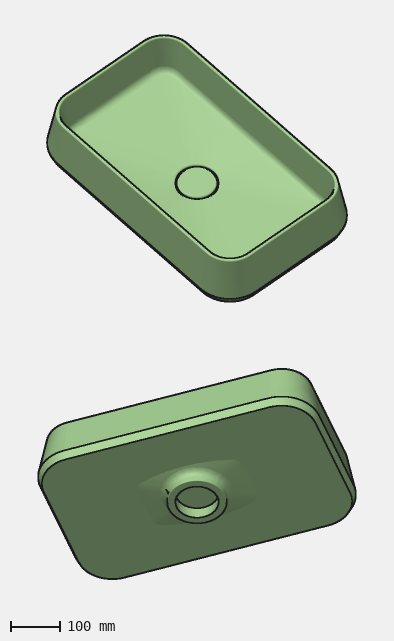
import cadquery as cq
import math

LENGTH = 600.0
WIDTH = 370.0
TOTAL_HEIGHT = 147.0
NECK_DROP = 28.0
RIM_Z = TOTAL_HEIGHT - NECK_DROP
CORNER_RADIUS = 80.5

BELT_BOTTOM_Z = 18.5
BELT_TOP_Z = 21.0
FOOT_INSET = 8.0
RIM_OUTER_INSET = 17.5

RIM_INNER_INSET = 25.0
RIM_ROUND = 3.0
FLOOR_INSET = 40.0
FLOOR_EDGE_Z = 32.5
FLOOR_FILLET = 14.5
EDGE_TOLERANCE = 0.5

DRAIN_EDGE_RADIUS = 48.0
DRAIN_EDGE_Z = 11.5
FLOOR_THICKNESS = 18.0

NECK_RADIUS = 60.5
NECK_FILLET = 15.0
NECK_END_ROUND = 1.0
ROOT_TOP_Z = -3.0
HOLE_RADIUS = 44.0
HOLE_ROUND = DRAIN_EDGE_RADIUS - HOLE_RADIUS
PLUG_RADIUS = 41.5
PLUG_ROUND = 4.0
PLUG_HEAD_HEIGHT = 6.0
PLUG_FLANGE_THICKNESS = 6.0

CENTRE_X = LENGTH / 2 - CORNER_RADIUS
CENTRE_Y = WIDTH / 2 - CORNER_RADIUS


def ring_wire(corners, z):
    """Closed wire of arcs joined by arcs or lines; each corner is (start, middle, end, next_middle)."""
    edges = []
    for index, (start, middle, end, next_middle) in enumerate(corners):
        next_start = corners[(index + 1) % len(corners)][0]
        points = [cq.Vector(x, y, z) for x, y in (start, middle, end, next_start)]
        edges.append(cq.Edge.makeThreePointArc(*points[:3]))
        if next_middle is None:
            edges.append(cq.Edge.makeLine(points[2], points[3]))
        else:
            edges.append(cq.Edge.makeThreePointArc(points[2], cq.Vector(*next_middle, z), points[3]))
    return cq.Wire.assembleEdges(edges)


def corner_signs():
    """Quadrants in counter-clockwise order."""
    return [(1, 1), (-1, 1), (-1, -1), (1, -1)]


def outline(inset, z):
    """Rounded rectangle lying inset inside the widest outline."""
    radius = CORNER_RADIUS - inset
    diagonal = radius * math.sqrt(0.5)
    corners = []
    for sx, sy in corner_signs():
        on_end = (sx * (CENTRE_X + radius), sy * CENTRE_Y)
        on_side = (sx * CENTRE_X, sy * (CENTRE_Y + radius))
        middle = (sx * (CENTRE_X + diagonal), sy * (CENTRE_Y + diagonal))
        start, end = (on_end, on_side) if sx == sy else (on_side, on_end)
        corners.append((start, middle, end, None))
    return ring_wire(corners, z)


def drain_circle(z):
    """Drain edge circle, split at the bearings where the floor outline changes from line to arc."""
    radius = CORNER_RADIUS - FLOOR_INSET
    low = math.atan2(CENTRE_Y, CENTRE_X + radius)
    high = math.atan2(CENTRE_Y + radius, CENTRE_X)

    def at(angle):
        return (DRAIN_EDGE_RADIUS * math.cos(angle), DRAIN_EDGE_RADIUS * math.sin(angle))

    spans = [(low, high), (math.pi - high, math.pi - low)]
    spans += [(a + math.pi, b + math.pi) for a, b in spans]
    corners = []
    for index, (a, b) in enumerate(spans):
        corners.append((at(a), at((a + b) / 2), at(b), at((index + 1) * math.pi / 2)))
    return ring_wire(corners, z)


def frustum(lower_inset, lower_z, upper_inset, upper_z):
    """Tapered block whose outline inset changes from lower_inset to upper_inset."""
    height = upper_z - lower_z
    taper = math.degrees(math.atan2(upper_inset - lower_inset, height))
    lower_outline = cq.Workplane().add(outline(lower_inset, lower_z)).toPending()
    return lower_outline.extrude(height, taper=taper)


def floor_funnel(drop):
    """Space above the sloping floor, lowered by drop."""
    wires = [drain_circle(DRAIN_EDGE_Z - drop), outline(FLOOR_INSET, FLOOR_EDGE_Z - drop)]
    return cq.Workplane(cq.Solid.makeLoft(wires, True))


def cylinder(radius, bottom_z, top_z):
    return cq.Workplane().workplane(offset=bottom_z).circle(radius).extrude(top_z - bottom_z)


def height_band(bottom_z, top_z):
    """Selector for edges whose centre lies between two heights."""
    return cq.selectors.BoxSelector((-LENGTH, -WIDTH, bottom_z), (LENGTH, WIDTH, top_z))


def outer_shell():
    foot = frustum(FOOT_INSET, 0, 0, BELT_BOTTOM_Z)
    belt = frustum(0, BELT_BOTTOM_Z, 0, BELT_TOP_Z)
    side = frustum(0, BELT_TOP_Z, RIM_OUTER_INSET, RIM_Z)
    return foot.union(belt).union(side)


def bowl_cavity():
    walls = frustum(FLOOR_INSET, FLOOR_EDGE_Z, RIM_INNER_INSET, RIM_Z)
    cavity = walls.union(floor_funnel(0))
    floor_edge = height_band(FLOOR_EDGE_Z - EDGE_TOLERANCE, FLOOR_EDGE_Z + EDGE_TOLERANCE)
    return cavity.edges(floor_edge).fillet(FLOOR_FILLET)


def drain_neck():
    """Neck below the basin, blended into an underside that runs parallel to the floor."""
    underside = floor_funnel(FLOOR_THICKNESS)
    neck = underside.union(cylinder(NECK_RADIUS, -NECK_DROP, 0))
    root = height_band(DRAIN_EDGE_Z - FLOOR_THICKNESS, ROOT_TOP_Z)
    neck = neck.edges(root).fillet(NECK_FILLET)
    return neck.faces("<Z").edges().fillet(NECK_END_ROUND)


def drain_hole():
    """Through hole whose mouth is rounded out to the drain edge of the floor."""
    round_z = DRAIN_EDGE_Z - HOLE_ROUND
    profile = (
        cq.Workplane("XZ")
        .moveTo(0, -NECK_DROP)
        .lineTo(HOLE_RADIUS, -NECK_DROP)
        .lineTo(HOLE_RADIUS, round_z)
        .radiusArc((DRAIN_EDGE_RADIUS, DRAIN_EDGE_Z), HOLE_ROUND)
        .lineTo(0, DRAIN_EDGE_Z)
        .close()
    )
    return profile.revolve(360, (0, 0, 0), (0, 1, 0))


def basin_body():
    basin = outer_shell().union(drain_neck()).cut(bowl_cavity())
    basin = basin.faces(">Z").edges().fillet(RIM_ROUND)
    return basin.cut(drain_hole())


def plug_body():
    """Rounded head, level with the drain edge, on a flange that fits the hole."""
    flange_top_z = DRAIN_EDGE_Z - PLUG_HEAD_HEIGHT
    head = cylinder(PLUG_RADIUS, flange_top_z, DRAIN_EDGE_Z)
    head = head.faces(">Z").edges().fillet(PLUG_ROUND)
    flange = cylinder(HOLE_RADIUS, flange_top_z - PLUG_FLANGE_THICKNESS, flange_top_z)
    return head.union(flange)


basin = basin_body()
plug = plug_body()

result = cq.Compound.makeCompound([basin.val(), plug.val()])